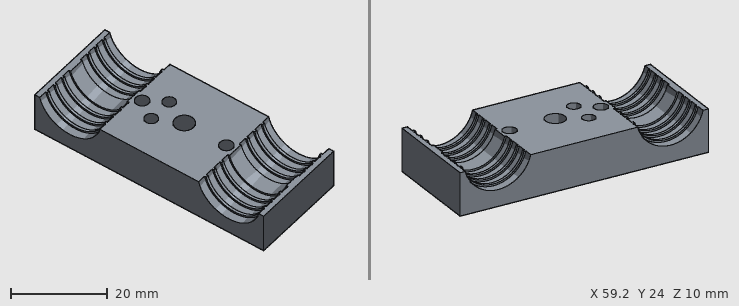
import cadquery as cq

length = 59.2
width = 24.0
height = 10.0

cradle_offset = 20.55
cradle_axis_height = height + 1.9
relief_radius = 8.0
grip_radius = 7.6

band_width = 2.0
band_pitch = 2.65
bands_per_end = 4

center_hole_diameter = 4.6
outer_hole_diameter = 3.2
outer_hole_offset = 10.9
pair_hole_diameter = 3.0
pair_hole_x = -6.2
pair_hole_y = 3.1


def cylinder_along_y(radius, x, y_start, y_length):
    """Cylinder on a cradle axis, extending toward +Y from y_start."""
    base = cq.Vector(x, y_start, cradle_axis_height)
    return cq.Workplane(cq.Solid.makeCylinder(radius, y_length, base, cq.Vector(0, 1, 0)))


def cradle_cutter(x):
    """Grip bore with wider relief bands toward both ends."""
    cutter = cylinder_along_y(grip_radius, x, -width / 2, width)
    for i in range(bands_per_end):
        near_start = -width / 2 + i * band_pitch
        far_start = -near_start - band_width
        for y_start in (near_start, far_start):
            cutter = cutter.union(cylinder_along_y(relief_radius, x, y_start, band_width))
    return cutter


def drill(body, points, diameter):
    """Drill vertical through holes at the given XY points."""
    cutters = cq.Workplane("XY").pushPoints(points).circle(diameter / 2).extrude(height)
    return body.cut(cutters)


body = cq.Workplane("XY").box(length, width, height, centered=(True, True, False))

for side in (-1, 1):
    body = body.cut(cradle_cutter(side * cradle_offset))

body = drill(body, [(0, 0)], center_hole_diameter)
body = drill(body, [(-outer_hole_offset, 0), (outer_hole_offset, 0)], outer_hole_diameter)
body = drill(body, [(pair_hole_x, -pair_hole_y), (pair_hole_x, pair_hole_y)], pair_hole_diameter)

result = body